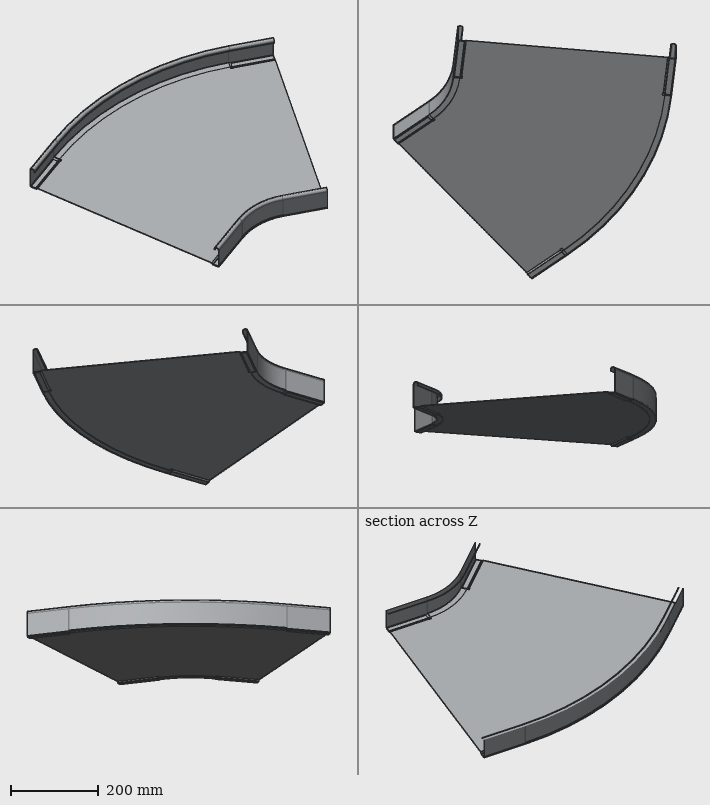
import cadquery as cq
import math

overall_length = 639.0
overall_height = 62.0
tray_width = 500.0
straight_length = 105.0
bend_angle = 45.0

outer_radius = (overall_length - straight_length) / math.sin(math.radians(bend_angle)) - straight_length
bend_center_x = outer_radius

sheet = 2.0
rail_bottom = sheet
floor_bottom = rail_bottom + sheet
floor_top = floor_bottom + sheet

lip_radius = 6.5
lip_depth = 9.5
lip_width = 2 * lip_radius
flange_width = 15.5

strip_inset = 3.0
step_start = 16.0
step_angle = 50.0
step_run = (floor_top - sheet) / math.tan(math.radians(step_angle))
step_end = step_start + step_run
underside_shift = sheet * math.tan(math.radians(step_angle / 2))
relief_reach = 21.0
relief_length = 5.0


def straight_piece(section):
    """Near straight piece, from y = 0 to the start of the bend."""
    return section.extrude(-straight_length)


def bend_piece(section):
    """Bend that turns clockwise about the vertical axis through the bend center."""
    return section.revolve(bend_angle, (bend_center_x, 6.5), (bend_center_x, 0))


def far_copy(piece):
    """Copy of the near straight piece placed at the far end of the bend."""
    beyond = piece.mirror("XZ", (0, straight_length, 0))
    axis_start = (bend_center_x, straight_length, 0)
    axis_end = (bend_center_x, straight_length, 1)
    return beyond.rotate(axis_start, axis_end, -bend_angle)


def rail_section(y, edge_x, inward):
    """C-shaped rail section; inward is +1 or -1, the X direction towards the floor."""

    def at(depth, z):
        return (edge_x + inward * depth, z)

    lip_center_z = overall_height - lip_radius
    lip_end_z = overall_height - lip_depth
    return (
        cq.Workplane("XZ", origin=(0, y, 0))
        .moveTo(*at(0, rail_bottom))
        .lineTo(*at(0, lip_center_z))
        .threePointArc(at(lip_radius, overall_height), at(lip_width, lip_center_z))
        .lineTo(*at(lip_width, lip_end_z))
        .lineTo(*at(lip_width - sheet, lip_end_z))
        .lineTo(*at(lip_width - sheet, lip_center_z))
        .threePointArc(at(lip_radius, overall_height - sheet), at(sheet, lip_center_z))
        .lineTo(*at(sheet, floor_bottom))
        .lineTo(*at(flange_width, floor_bottom))
        .lineTo(*at(flange_width, rail_bottom))
        .close()
    )


def side_rail(edge_x, inward):
    near = straight_piece(rail_section(0, edge_x, inward))
    bend = bend_piece(rail_section(straight_length, edge_x, inward))
    return near.union(bend).union(far_copy(near))


def stepped_floor_section():
    """Floor section with a strip along each edge stepped down below the rail flange."""
    left_half = [
        (step_end, floor_top),
        (step_start, sheet),
        (strip_inset, sheet),
        (strip_inset, 0),
        (step_start + underside_shift, 0),
        (step_end + underside_shift, floor_bottom),
    ]
    right_half = [(tray_width - x, z) for x, z in reversed(left_half)]
    return cq.Workplane("XZ").polyline(left_half + right_half).close()


def floor_end():
    """Near end of the floor, with a slot across each strip where the bend starts."""
    end = straight_piece(stepped_floor_section())
    for x in (0, tray_width - relief_reach):
        relief = cq.Workplane("XY").box(relief_reach, relief_length, floor_top, centered=False)
        end = end.cut(relief.translate((x, straight_length - relief_length, 0)))
    return end


def floor_plate():
    bend_section = (
        cq.Workplane("XZ", origin=(tray_width / 2, straight_length, (floor_bottom + floor_top) / 2))
        .rect(tray_width - 2 * sheet, sheet)
    )
    bend_axis_x = bend_center_x - tray_width / 2
    bend = bend_section.revolve(bend_angle, (bend_axis_x, 6.5), (bend_axis_x, 0))
    near = floor_end()
    return near.union(bend).union(far_copy(near))


floor = floor_plate()
outer_rail = side_rail(0, 1)
inner_rail = side_rail(tray_width, -1)

result = cq.Compound.makeCompound([floor.val(), outer_rail.val(), inner_rail.val()])